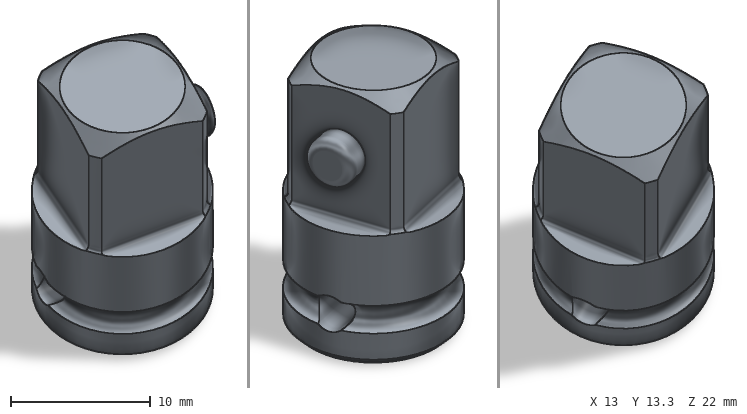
import cadquery as cq
import math

total_height = 22.0
body_diameter = 13.0
body_radius = body_diameter / 2
body_height = total_height / 2
base_chamfer = 0.65

groove_height = 4.0
groove_half_width = 1.17
groove_depth = 1.0
cross_hole_diameter = 3.0

square_side = 9.5
square_corner_diameter = 12.5
root_fillet = 0.5
tip_flat_diameter = 9.0
tip_bevel_angle = 30.0

pin_diameter = 4.0
pin_height = 16.5
total_depth = 13.25
pin_reach = total_depth - body_radius
pin_edge_radius = 0.8


def make_drive():
    """Square drive with turned corners, filleted into an oversize plate below it."""
    drive_length = total_height - body_height
    square = cq.Workplane("XY").workplane(offset=body_height).rect(square_side, square_side)
    drive = square.extrude(drive_length)
    corner_cylinder = (
        cq.Workplane("XY").workplane(offset=body_height)
        .circle(square_corner_diameter / 2)
        .extrude(drive_length)
    )
    drive = drive.intersect(corner_cylinder)

    plate_side = 2 * body_diameter
    plate = cq.Workplane("XY").rect(plate_side, plate_side).extrude(body_height)
    root_box = cq.selectors.BoxSelector(
        (-body_radius, -body_radius, body_height - root_fillet / 2),
        (body_radius, body_radius, body_height + root_fillet / 2),
    )
    return plate.union(drive).edges(root_box).fillet(root_fillet)


def make_turned_envelope():
    """Revolved outline with base chamfer, round groove and conical tip bevel."""
    tip_radius = tip_flat_diameter / 2
    bevel_drop = (body_radius - tip_radius) * math.tan(math.radians(tip_bevel_angle))
    return (
        cq.Workplane("XZ")
        .lineTo(body_radius - base_chamfer, 0)
        .lineTo(body_radius, base_chamfer)
        .lineTo(body_radius, groove_height - groove_half_width)
        .threePointArc(
            (body_radius - groove_depth, groove_height),
            (body_radius, groove_height + groove_half_width),
        )
        .lineTo(body_radius, total_height - bevel_drop)
        .lineTo(tip_radius, total_height)
        .lineTo(0, total_height)
        .close()
        .revolve(360, (0, 0, 0), (0, 1, 0))
    )


def make_cross_hole():
    """Hole along Y right through the body at the groove."""
    return (
        cq.Workplane("XZ")
        .center(0, groove_height)
        .circle(cross_hole_diameter / 2)
        .extrude(body_diameter, both=True)
    )


def make_pin():
    """Round-edged pin running from the axis out through the +Y face."""
    return (
        cq.Workplane("XZ")
        .center(0, pin_height)
        .circle(pin_diameter / 2)
        .extrude(-pin_reach)
        .faces(">Y")
        .edges()
        .fillet(pin_edge_radius)
    )


result = make_drive().intersect(make_turned_envelope()).cut(make_cross_hole()).union(make_pin())